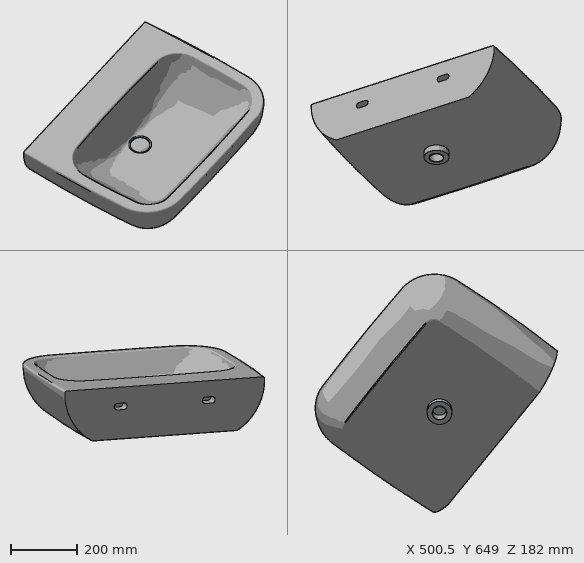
import cadquery as cq
import math

DEPTH = 500.5
HALF_WIDTH = 324.5
BASIN_HEIGHT = 160.0
TOTAL_HEIGHT = 182.0

BACK_HALF_WIDTH = 318.0
SIDE_CROWN_X = 213.0
SIDE_END_X = 378.0
SIDE_END_Y = 320.5
FRONT_END_X = 497.0
FRONT_END_Y = 202.5
CORNER_BULGE = 32.0
RIM_FILLET = 6.5

UNDERSIDE_INSET = 87.5
STRAIGHT_DEPTH = 9.0
UNDERSIDE_STEPS = 5
UNDERSIDE_FILLET = 6.5

BOWL_BACK_X = 116.0
BOWL_FRONT_X = 462.0
BOWL_BACK_END_X = 121.5
BOWL_FRONT_END_X = 458.0
BOWL_END_Y = 210.0
BOWL_SIDE_BACK_X = 202.5
BOWL_SIDE_BACK_Y = 285.5
BOWL_SIDE_FRONT_X = 389.5
BOWL_SIDE_FRONT_Y = 281.5
BOWL_SIDE_BULGE = 2.0
BOWL_BACK_BULGE = 22.0
BOWL_FRONT_BULGE = 19.0
BOWL_RIM_FILLET = 4.5

BOWL_DEPTH = 130.0
DRAIN_X = 206.0
MOUTH_DIAMETER = 69.0
MOUTH_ANGLES = (126, 90, 70, 40)
BOWL_SHARES = (1.0, 0.98, 0.93, 0.83, 0.66, 0.45, 0.2, 0.0)
FLOOR_POWER = 2.4
WALL_POWER = 1.2
BOWL_LEAN = 13.0

OUTLET_DIAMETER = 75.0
OUTLET_LENGTH = 19.5
SEAT_DIAMETER = 60.0
SEAT_DEPTH = 4.5
FLANGE_THICKNESS = 4.0
TUBE_DIAMETER = 44.0
TUBE_BORE = 42.0
PLUG_RIM_HEIGHT = 3.0
PLUG_DOME_HEIGHT = 4.5
PLUG_STEM_LENGTH = 13.0

SLOT_LENGTH = 40.0
SLOT_HEIGHT = 20.0
SLOT_DEPTH = 40.0
SLOT_HALF_SPACING = 140.0
SLOT_Z = -60.0

FLANGE_TOP_Z = -BOWL_DEPTH - SEAT_DEPTH
FLANGE_BOTTOM_Z = FLANGE_TOP_Z - FLANGE_THICKNESS


def arc_middle(start, end, bulge):
    """Middle point of an arc that rises by bulge to the left of the chord start-end."""
    dx = end[0] - start[0]
    dy = end[1] - start[1]
    chord = math.hypot(dx, dy)
    return ((start[0] + end[0]) / 2 - bulge * dy / chord, (start[1] + end[1]) / 2 + bulge * dx / chord)


def arc_edge(start, middle, end, z):
    return cq.Edge.makeThreePointArc(*(cq.Vector(x, y, z) for x, y in (start, middle, end)))


def outer_section(inset, z):
    """Outline of the basin shrunk by inset on the sides and front, at height z."""
    side_y = SIDE_END_Y - inset
    front_x = FRONT_END_X - inset
    back = (0, BACK_HALF_WIDTH - inset)
    crown = (SIDE_CROWN_X, HALF_WIDTH - inset)
    side_end = (SIDE_END_X, side_y)
    front_end = (front_x, FRONT_END_Y)
    full_chord = math.hypot(FRONT_END_X - SIDE_END_X, SIDE_END_Y - FRONT_END_Y)
    chord = math.hypot(front_x - SIDE_END_X, side_y - FRONT_END_Y)
    corner = arc_middle(side_end, front_end, CORNER_BULGE * chord / full_chord)
    front = (DEPTH - inset, 0)

    def mirror(point):
        return (point[0], -point[1])

    opposite_back = mirror(back)
    edges = [
        arc_edge(back, crown, side_end, z),
        arc_edge(side_end, corner, front_end, z),
        arc_edge(front_end, front, mirror(front_end), z),
        arc_edge(mirror(front_end), mirror(corner), mirror(side_end), z),
        arc_edge(mirror(side_end), mirror(crown), opposite_back, z),
        cq.Edge.makeLine(cq.Vector(*opposite_back, z), cq.Vector(*back, z)),
    ]
    return cq.Wire.assembleEdges(edges)


def make_shell():
    """Solid outside of the basin: an upright band over a side that curves in to the underside."""
    curve_height = BASIN_HEIGHT - STRAIGHT_DEPTH
    radius = (UNDERSIDE_INSET**2 + curve_height**2) / (2 * UNDERSIDE_INSET)
    end_angle = math.asin(curve_height / radius)
    sections = []
    for step in range(UNDERSIDE_STEPS + 1):
        angle = end_angle * step / UNDERSIDE_STEPS
        inset = radius * (1 - math.cos(angle))
        sections.append(outer_section(inset, -STRAIGHT_DEPTH - radius * math.sin(angle)))
    curved = cq.Solid.makeLoft(sections)
    band = cq.Solid.makeLoft([outer_section(0, -STRAIGHT_DEPTH), outer_section(0, 0)], True)
    rim_edges = cq.Workplane(obj=band).faces(">Z").edges("not(<X)")
    underside_edges = cq.Workplane(obj=curved).faces("<Z").edges("not(<X)")
    return underside_edges.fillet(UNDERSIDE_FILLET).union(rim_edges.fillet(RIM_FILLET))


def bowl_section(share, z):
    """Closed outline between the drain mouth (share 0) and the bowl opening (share 1)."""
    upper_rim = [
        (BOWL_BACK_END_X, BOWL_END_Y),
        (BOWL_SIDE_BACK_X, BOWL_SIDE_BACK_Y),
        (BOWL_SIDE_FRONT_X, BOWL_SIDE_FRONT_Y),
        (BOWL_FRONT_END_X, BOWL_END_Y),
    ]
    rim = upper_rim + [(x, -y) for x, y in reversed(upper_rim)]
    upper_bulges = [BOWL_BACK_BULGE, BOWL_SIDE_BULGE, BOWL_FRONT_BULGE]
    front_bulge = BOWL_FRONT_X - BOWL_FRONT_END_X
    back_bulge = BOWL_BACK_END_X - BOWL_BACK_X
    bulges = upper_bulges + [front_bulge] + upper_bulges[::-1] + [back_bulge]
    angles = list(MOUTH_ANGLES) + [-angle for angle in reversed(MOUTH_ANGLES)]

    def blend(rim_point, angle):
        mouth_x = DRAIN_X + MOUTH_DIAMETER / 2 * math.cos(math.radians(angle))
        mouth_y = MOUTH_DIAMETER / 2 * math.sin(math.radians(angle))
        lean = BOWL_LEAN * 4 * share * (1 - share)
        return (mouth_x + share * (rim_point[0] - mouth_x) + lean, mouth_y + share * (rim_point[1] - mouth_y))

    edges = []
    for i, bulge in enumerate(bulges):
        j = (i + 1) % len(rim)
        end_angle = angles[j] if j else angles[j] - 360
        start = blend(rim[i], angles[i])
        middle = blend(arc_middle(rim[i], rim[j], bulge), (angles[i] + end_angle) / 2)
        end = blend(rim[j], angles[j])
        edges.append(arc_edge(start, middle, end, z))
    return cq.Wire.assembleEdges(edges)


def make_bowl():
    """Hollow of the bowl: steep at the rim, flattening towards the drain mouth."""
    sections = []
    for share in BOWL_SHARES:
        depth = BOWL_DEPTH * (1 - share**FLOOR_POWER) ** (1 / WALL_POWER)
        sections.append(bowl_section(share, -depth))
    return cq.Workplane(obj=cq.Solid.makeLoft(sections))


def cylinder(diameter, bottom_z, top_z):
    """Upright cylinder on the drain axis."""
    return cq.Workplane(origin=(DRAIN_X, 0, bottom_z)).circle(diameter / 2).extrude(top_z - bottom_z)


def make_drain_hole():
    """Cone from the drain mouth to the flange seat, then the bore for the tube."""
    cone = (
        cq.Workplane(origin=(DRAIN_X, 0, FLANGE_TOP_Z)).circle(SEAT_DIAMETER / 2)
        .workplane(offset=SEAT_DEPTH).circle(MOUTH_DIAMETER / 2).loft()
    )
    seat = cylinder(SEAT_DIAMETER, FLANGE_BOTTOM_Z, FLANGE_TOP_Z)
    return cone.union(seat).union(cylinder(TUBE_DIAMETER, -TOTAL_HEIGHT, FLANGE_BOTTOM_Z))


def make_slots():
    """Two blind level slots in the back face."""
    return (
        cq.Workplane("YZ").pushPoints([(-SLOT_HALF_SPACING, SLOT_Z), (SLOT_HALF_SPACING, SLOT_Z)])
        .slot2D(SLOT_LENGTH, SLOT_HEIGHT).extrude(SLOT_DEPTH)
    )


def make_basin():
    """Hollow basin with its outlet, drain hole and fixing slots."""
    outlet_bottom_z = -BASIN_HEIGHT - OUTLET_LENGTH
    hollow_shell = make_shell().cut(make_bowl())
    rim_edges = hollow_shell.faces(">Z").val().innerWires()[0].Edges()
    rounded = hollow_shell.newObject(rim_edges).fillet(BOWL_RIM_FILLET)
    with_outlet = rounded.union(cylinder(OUTLET_DIAMETER, outlet_bottom_z, -BASIN_HEIGHT))
    return with_outlet.cut(make_drain_hole()).cut(make_slots()).solids()


def make_waste():
    """Flanged tube that lines the outlet."""
    flange = cylinder(SEAT_DIAMETER, FLANGE_BOTTOM_Z, FLANGE_TOP_Z)
    tube = cylinder(TUBE_DIAMETER, -TOTAL_HEIGHT, FLANGE_BOTTOM_Z)
    return flange.union(tube).cut(cylinder(TUBE_BORE, -TOTAL_HEIGHT, FLANGE_TOP_Z)).solids()


def make_plug():
    """Domed cap on the flange with a stem in the tube."""
    cap_radius = SEAT_DIAMETER / 2
    stem_radius = TUBE_BORE / 2
    return (
        cq.Workplane("XZ", origin=(DRAIN_X, 0, FLANGE_TOP_Z))
        .moveTo(0, -PLUG_STEM_LENGTH).lineTo(stem_radius, -PLUG_STEM_LENGTH).lineTo(stem_radius, 0)
        .lineTo(cap_radius, 0).lineTo(cap_radius, PLUG_RIM_HEIGHT)
        .spline([(0, PLUG_RIM_HEIGHT + PLUG_DOME_HEIGHT)], tangents=[(-1, 0.5), (-1, 0)], includeCurrent=True)
        .close().revolve(360, (0, 0), (0, 1))
    )


basin = make_basin()
waste = make_waste()
plug = make_plug()

result = cq.Compound.makeCompound([basin.val(), waste.val(), plug.val()])